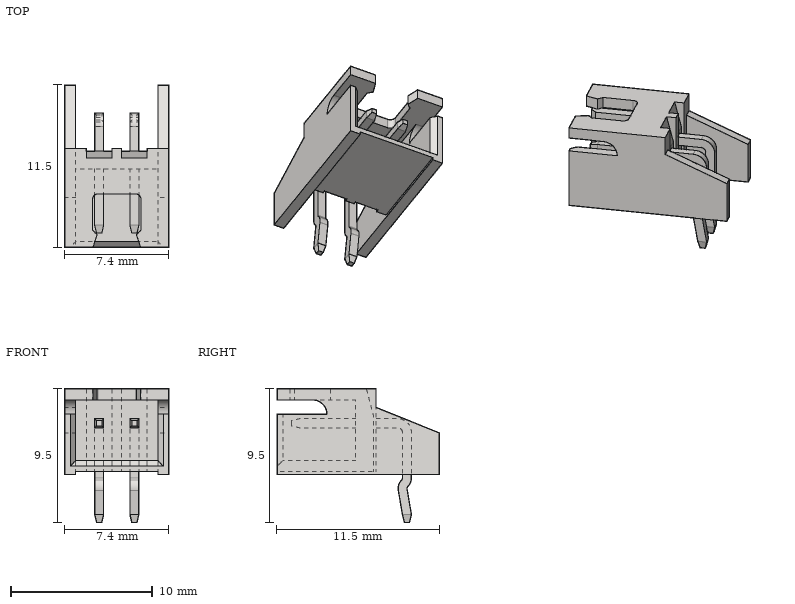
import cadquery as cq
import math


WIDTH = 7.4
LENGTH = 11.5
TOTAL_HEIGHT = 9.5
HOUSING_HEIGHT = 6.1
SHELL_LENGTH = 7.02
WALL = 0.78
ROOF = 0.8
INNER_WIDTH = WIDTH - 2 * WALL

CHEEK_REAR_HEIGHT = 2.97
CHEEK_FRONT_HEIGHT = 4.77

FLOOR_TOP = 1.0
RELIEF_HEIGHT = 0.21
CAVITY_DEPTH = 5.55
FLARE = 0.4
FLARE_SIDE = 0.38

SLOT_LENGTH = 3.52
SLOT_HEIGHT = 1.0
ROOF_UNDERSIDE = HOUSING_HEIGHT - ROOF
SLOT_FLOOR = ROOF_UNDERSIDE - SLOT_HEIGHT

WINDOW_WIDTH = 3.44
WINDOW_REAR = 3.8
WINDOW_CORNER = 0.4
WINDOW_STRAIGHT_START = 1.22
THROAT_WIDTH = 2.78
THROAT_Y = 0.9
MOUTH_WIDTH = 3.38

PITCH = 2.5
PIN = 0.64
PIN_TIP = 0.37
TIP_LENGTH = 0.56
PIN_Z = 3.65
PIN_FRONT = 1.01
LEG_Y = 9.2
ELBOW_RADIUS = 0.64
KINK_START_Z = -0.23
KINK_RADIUS = 0.53
KINK_ANGLE = 45.0
LEAN_ANGLE = 9.7
LEG_END_Z = HOUSING_HEIGHT - TOTAL_HEIGHT
PIN_CENTRES = (-PITCH / 2, PITCH / 2)

RECESS_WIDTH = 1.82
RECESS_TOP_DEPTH = 0.69
RECESS_DEPTH = 0.2
RECESS_SLOPE_HEIGHT = 1.9


def box_between(x0, x1, y0, y1, z0, z1):
    size = (x1 - x0, y1 - y0, z1 - z0)
    return cq.Workplane("XY").box(*size, centered=False).translate((x0, y0, z0))


def centred_box(width, y0, y1, z0, z1):
    return box_between(-width / 2, width / 2, y0, y1, z0, z1)


def extrude_across(profile, centre_x, width):
    """Extrude a closed YZ profile symmetrically about centre_x."""
    return profile.extrude(width / 2, both=True).translate((centre_x, 0, 0))


def housing_blank():
    side_profile = (
        cq.Workplane("YZ")
        .polyline([
            (0, 0),
            (LENGTH, 0),
            (LENGTH, CHEEK_REAR_HEIGHT),
            (SHELL_LENGTH, CHEEK_FRONT_HEIGHT),
            (SHELL_LENGTH, HOUSING_HEIGHT),
            (0, HOUSING_HEIGHT),
        ])
        .close()
    )
    blank = extrude_across(side_profile, 0, WIDTH)
    rear_gap = centred_box(INNER_WIDTH, SHELL_LENGTH, LENGTH, 0, HOUSING_HEIGHT)
    underside_relief = centred_box(INNER_WIDTH, 0, LENGTH, 0, RELIEF_HEIGHT)
    return blank.cut(rear_gap).cut(underside_relief)


def mating_cavity():
    return centred_box(INNER_WIDTH, 0, CAVITY_DEPTH, FLOOR_TOP, ROOF_UNDERSIDE)


def mouth_flare():
    """Lead-in on the floor and both side walls, ending at the side slots."""
    def opening(y, side, drop):
        half = INNER_WIDTH / 2 + side
        bottom = FLOOR_TOP - drop
        corners = [(-half, SLOT_FLOOR), (half, SLOT_FLOOR), (half, bottom), (-half, bottom)]
        return cq.Wire.makePolygon([cq.Vector(x, y, z) for x, z in corners], close=True)

    wires = [opening(0, FLARE_SIDE, FLARE), opening(FLARE, 0, 0)]
    return cq.Workplane(cq.Solid.makeLoft(wires, True))


def side_slots():
    """Slot with a quarter-round upper rear corner, through both side walls."""
    arc_start_y = SLOT_LENGTH - SLOT_HEIGHT
    arc_reach = SLOT_HEIGHT * math.sqrt(0.5)
    profile = (
        cq.Workplane("YZ")
        .moveTo(0, SLOT_FLOOR)
        .lineTo(0, ROOF_UNDERSIDE)
        .lineTo(arc_start_y, ROOF_UNDERSIDE)
        .threePointArc(
            (arc_start_y + arc_reach, SLOT_FLOOR + arc_reach),
            (SLOT_LENGTH, SLOT_FLOOR),
        )
        .close()
    )
    through = extrude_across(profile, 0, WIDTH)
    between_walls = centred_box(INNER_WIDTH, 0, SLOT_LENGTH, SLOT_FLOOR, ROOF_UNDERSIDE)
    return through.cut(between_walls)


def latch_window():
    right_side = [
        (MOUTH_WIDTH / 2, 0),
        (THROAT_WIDTH / 2, THROAT_Y),
        (WINDOW_WIDTH / 2, WINDOW_STRAIGHT_START),
        (WINDOW_WIDTH / 2, WINDOW_REAR),
    ]
    left_side = [(-x, y) for x, y in reversed(right_side)]
    return (
        cq.Workplane("XY", origin=(0, 0, ROOF_UNDERSIDE))
        .polyline(right_side + left_side)
        .close()
        .extrude(ROOF)
        .edges("|Z and >Y")
        .fillet(WINDOW_CORNER)
    )


def rear_recess(centre_x):
    """Recess in the rear wall: sloped in its upper part, upright below."""
    wall_y = SHELL_LENGTH - RECESS_DEPTH
    profile = (
        cq.Workplane("YZ")
        .polyline([
            (SHELL_LENGTH, 0),
            (SHELL_LENGTH, HOUSING_HEIGHT),
            (SHELL_LENGTH - RECESS_TOP_DEPTH, HOUSING_HEIGHT),
            (wall_y, HOUSING_HEIGHT - RECESS_SLOPE_HEIGHT),
            (wall_y, 0),
        ])
        .close()
    )
    return extrude_across(profile, centre_x, RECESS_WIDTH)


def pin_tip(workplane):
    """Square point tapering along the workplane normal."""
    return workplane.rect(PIN, PIN).workplane(offset=TIP_LENGTH).rect(PIN_TIP, PIN_TIP).loft()


def pin():
    """Square pin at X = 0: straight contact, elbow, then a kinked solder leg."""
    contact_start_y = PIN_FRONT + TIP_LENGTH
    leg_point_z = LEG_END_Z + TIP_LENGTH
    kink = math.radians(KINK_ANGLE)
    lean = math.radians(LEAN_ANGLE)

    def first_arc(angle):
        y = LEG_Y - KINK_RADIUS * (1 - math.cos(angle))
        return y, KINK_START_Z - KINK_RADIUS * math.sin(angle)

    second_centre_y = LEG_Y - KINK_RADIUS + 2 * KINK_RADIUS * math.cos(kink)
    second_centre_z = KINK_START_Z - 2 * KINK_RADIUS * math.sin(kink)

    def second_arc(angle):
        y = second_centre_y - KINK_RADIUS * math.cos(angle)
        return y, second_centre_z + KINK_RADIUS * math.sin(angle)

    lean_start_y, lean_start_z = second_arc(-lean)
    leg_end_y = lean_start_y + (lean_start_z - LEG_END_Z) * math.tan(lean)

    elbow_y = LEG_Y - ELBOW_RADIUS
    elbow_z = PIN_Z - ELBOW_RADIUS
    elbow_reach = ELBOW_RADIUS * math.sqrt(0.5)

    path = (
        cq.Workplane("YZ")
        .moveTo(contact_start_y, PIN_Z)
        .lineTo(elbow_y, PIN_Z)
        .threePointArc((elbow_y + elbow_reach, elbow_z + elbow_reach), (LEG_Y, elbow_z))
        .lineTo(LEG_Y, KINK_START_Z)
        .threePointArc(first_arc(kink / 2), first_arc(kink))
        .threePointArc(second_arc((kink - lean) / 2), second_arc(-lean))
        .lineTo(leg_end_y, LEG_END_Z)
    )
    start = cq.Workplane("XZ", origin=(0, contact_start_y, PIN_Z))
    bar = start.rect(PIN, PIN).sweep(path)

    below_leg = centred_box(2 * PIN, 0, LENGTH, LEG_END_Z - PIN, leg_point_z)
    contact_point = pin_tip(start)
    leg_point = pin_tip(cq.Workplane(cq.Plane((0, LEG_Y, leg_point_z), (1, 0, 0), (0, 0, -1))))
    return bar.cut(below_leg).union(contact_point).union(leg_point)


result = (
    housing_blank()
    .cut(mating_cavity())
    .cut(mouth_flare())
    .cut(side_slots())
    .cut(latch_window())
)
for pin_x in PIN_CENTRES:
    result = result.cut(rear_recess(pin_x))
for pin_x in PIN_CENTRES:
    result = result.union(pin().translate((pin_x, 0, 0)))